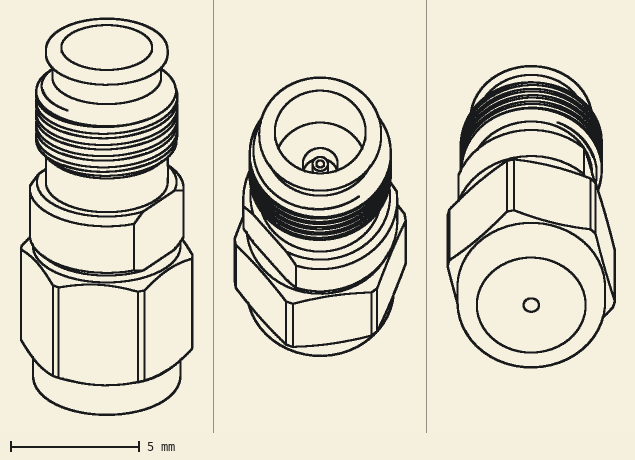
import cadquery as cq
import math


OVERALL_HEIGHT = 14.9

NUT_HEIGHT = 6.02
NUT_ACROSS_FLATS = 5.94
NUT_CORNER_DIAMETER = 6.7
NUT_COLLAR_RADIUS = 2.875
NUT_COLLAR_HEIGHT = 1.42
NUT_COLLAR_FILLET = 0.22
NUT_CHAMFER_ANGLE = 30

SHANK_RADIUS = 2.12
HUB_BOTTOM_Z = 6.24
HUB_TOP_Z = 8.88
HUB_RADIUS = 3.0
HUB_CHAMFER = 0.28
HUB_ACROSS_FLATS = 5.04
BARREL_RADIUS = 2.375
THREAD_BOTTOM_Z = 10.39
THREAD_TOP_Z = 13.57
RIM_BOTTOM_Z = 14.56
RIM_TOP_FILLET = 0.12
RIM_BOTTOM_FILLET = 0.05
BORE_RADIUS = 1.77
BORE_DEPTH = 3.0

THREAD_RADIUS = 2.75
THREAD_PITCH = 0.5
THREAD_CREST = 0.2
THREAD_FLANK_ANGLE = 30
THREAD_TURNS = 6
THREAD_START_Z = 10.327
CUTTER_OVERSHOOT = 0.05

CONTACT_RADIUS = 0.3
CONTACT_TOP_Z = OVERALL_HEIGHT - BORE_DEPTH
SOCKET_RADIUS = 0.15
SOCKET_DEPTH = 1.0
AIR_GAP_RADIUS = 0.68
AIR_GAP_DEPTH = 1.0


def cylinder(radius, bottom_z, top_z):
    return cq.Workplane("XY").workplane(offset=bottom_z).circle(radius).extrude(top_z - bottom_z)


def revolve_profile(points):
    """Revolve a closed (radius, z) outline about the Z axis."""
    return cq.Workplane("XZ").polyline(points).close().revolve(360, (0, 0, 0), (0, 1, 0))


def make_nut():
    corner_radius = NUT_CORNER_DIAMETER / 2
    chamfer_height = (corner_radius - NUT_COLLAR_RADIUS) * math.tan(math.radians(NUT_CHAMFER_ANGLE))

    hexagon = (
        cq.Workplane("XY")
        .workplane(offset=NUT_COLLAR_HEIGHT)
        .polygon(6, NUT_ACROSS_FLATS, circumscribed=True)
        .extrude(NUT_HEIGHT - NUT_COLLAR_HEIGHT)
    )
    envelope = revolve_profile([
        (0, NUT_COLLAR_HEIGHT),
        (NUT_COLLAR_RADIUS, NUT_COLLAR_HEIGHT),
        (corner_radius, NUT_COLLAR_HEIGHT + chamfer_height),
        (corner_radius, NUT_HEIGHT - chamfer_height),
        (NUT_COLLAR_RADIUS, NUT_HEIGHT),
        (0, NUT_HEIGHT),
    ])
    collar = cylinder(NUT_COLLAR_RADIUS, 0, NUT_COLLAR_HEIGHT).faces("<Z").edges().fillet(NUT_COLLAR_FILLET)
    shank_hole = cylinder(SHANK_RADIUS, 0, NUT_HEIGHT)
    return hexagon.intersect(envelope).union(collar).cut(shank_hole)


def make_hub():
    hub = cylinder(HUB_RADIUS, HUB_BOTTOM_Z, HUB_TOP_Z).edges("%CIRCLE").chamfer(HUB_CHAMFER)
    flats = (
        cq.Workplane("XY")
        .workplane(offset=HUB_BOTTOM_Z)
        .rect(HUB_ACROSS_FLATS, 2 * HUB_RADIUS)
        .extrude(HUB_TOP_Z - HUB_BOTTOM_Z)
    )
    return hub.intersect(flats)


def make_thread_cutter():
    """Helical V groove that runs out through the cones at both ends of the thread."""
    slope = math.tan(math.radians(THREAD_FLANK_ANGLE))
    root_radius = THREAD_RADIUS - (THREAD_PITCH - THREAD_CREST) / 2 / slope
    outer_radius = THREAD_RADIUS + CUTTER_OVERSHOOT
    half_width = (outer_radius - root_radius) * slope

    height = THREAD_TURNS * THREAD_PITCH
    start = cq.Vector(0, 0, THREAD_START_Z)
    helix = cq.Workplane(cq.Wire.makeHelix(THREAD_PITCH, height, root_radius, start))
    groove = [
        (root_radius, THREAD_START_Z),
        (outer_radius, THREAD_START_Z - half_width),
        (outer_radius, THREAD_START_Z + half_width),
    ]
    return cq.Workplane("XZ").polyline(groove).close().sweep(helix, isFrenet=True)


def make_threaded_section():
    bottom_cone_height = THREAD_RADIUS - BARREL_RADIUS
    top_cone_height = THREAD_RADIUS - SHANK_RADIUS
    blank = revolve_profile([
        (0, THREAD_BOTTOM_Z),
        (BARREL_RADIUS, THREAD_BOTTOM_Z),
        (THREAD_RADIUS, THREAD_BOTTOM_Z + bottom_cone_height),
        (THREAD_RADIUS, THREAD_TOP_Z - top_cone_height),
        (SHANK_RADIUS, THREAD_TOP_Z),
        (0, THREAD_TOP_Z),
    ])
    return blank.cut(make_thread_cutter())


def make_rim():
    rim = cylinder(BARREL_RADIUS, RIM_BOTTOM_Z, OVERALL_HEIGHT)
    rim = rim.faces(">Z").edges().fillet(RIM_TOP_FILLET)
    return rim.faces("<Z").edges().fillet(RIM_BOTTOM_FILLET)


def make_body():
    shank = cylinder(SHANK_RADIUS, 0, HUB_BOTTOM_Z)
    barrel = cylinder(BARREL_RADIUS, HUB_TOP_Z, THREAD_BOTTOM_Z)
    neck = cylinder(SHANK_RADIUS, THREAD_TOP_Z, RIM_BOTTOM_Z)
    outside = shank.union(make_hub()).union(barrel).union(make_threaded_section()).union(neck).union(make_rim())

    bore = cylinder(BORE_RADIUS, CONTACT_TOP_Z, OVERALL_HEIGHT)
    air_gap = cylinder(AIR_GAP_RADIUS, CONTACT_TOP_Z - AIR_GAP_DEPTH, CONTACT_TOP_Z)
    contact_hole = cylinder(CONTACT_RADIUS, 0, CONTACT_TOP_Z)
    return outside.cut(bore).cut(air_gap).cut(contact_hole)


def make_contact():
    socket = cylinder(SOCKET_RADIUS, CONTACT_TOP_Z - SOCKET_DEPTH, CONTACT_TOP_Z)
    return cylinder(CONTACT_RADIUS, 0, CONTACT_TOP_Z).cut(socket)


nut = make_nut()
body = make_body()
contact = make_contact()

result = cq.Compound.makeCompound([nut.solids().val(), body.solids().val(), contact.solids().val()])